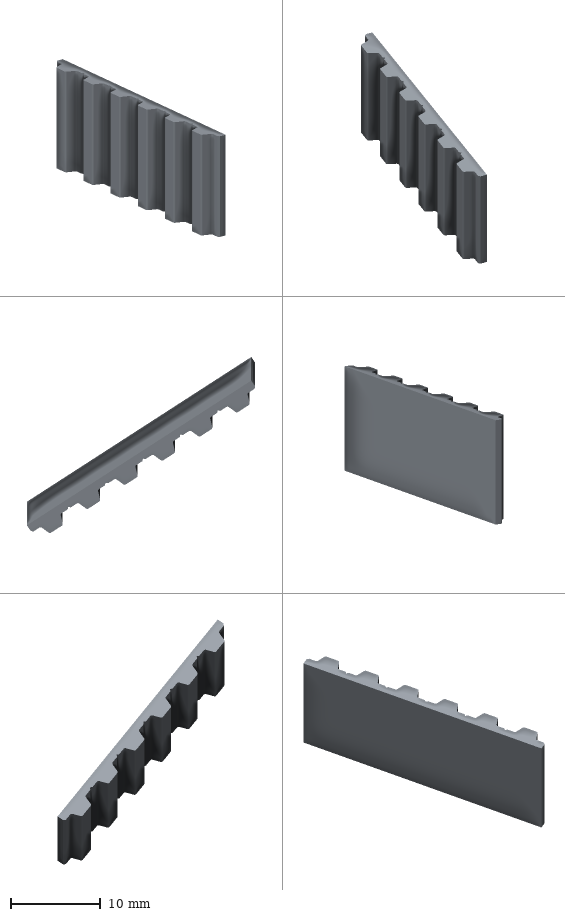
import cadquery as cq
import math

length = 30.0
width = 12.0
total_thickness = 2.2
tooth_count = 6
tooth_height = 1.2
tooth_base_width = 2.65
flank_angle = 20.0
tooth_radius = 0.25
groove_size = 0.2

pitch = length / tooth_count
root_y = total_thickness / 2 - (total_thickness - tooth_height)
tip_y = -total_thickness / 2
back_y = total_thickness / 2
base_half = tooth_base_width / 2
tip_half = base_half - tooth_height * math.tan(math.radians(flank_angle))


def belt_pitch(center_x):
    """One pitch of belt: backing with chamfered ends and a single rounded tooth."""
    half = pitch / 2
    right_side = [
        (tip_half, tip_y),
        (base_half, root_y),
        (half - groove_size, root_y),
        (half, root_y + groove_size),
        (half, back_y),
    ]
    left_side = [(-x, y) for x, y in reversed(right_side)]
    segment = (
        cq.Workplane("XY", origin=(center_x, 0, -width / 2))
        .polyline(right_side + left_side)
        .close()
        .extrude(width)
    )
    selection_half = base_half + tooth_radius
    tooth_corners = cq.selectors.BoxSelector(
        (center_x - selection_half, tip_y - tooth_radius, -width),
        (center_x + selection_half, root_y + tooth_radius, width),
    )
    return segment.edges("|Z").edges(tooth_corners).fillet(tooth_radius)


result = belt_pitch(-length / 2 + pitch / 2)
for index in range(1, tooth_count):
    result = result.union(belt_pitch(-length / 2 + (index + 0.5) * pitch))
result = result.clean()